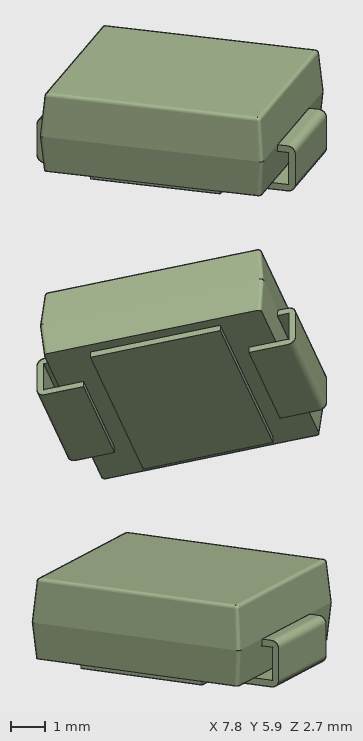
import cadquery as cq
import math

overall_length = 7.8
overall_height = 2.7

body_length = 6.74
body_width = 5.9
body_bottom = 0.305
parting_height = 1.4
draft_angle = 5.0
body_edge_radius = 0.1

lead_width = 3.0
lead_thickness = 0.2
lead_bend_radius = 0.235
foot_length = 1.405
lead_embed = 0.39

pad_length = 3.915
pad_width = 5.1
pad_bottom = 0.1


def body_half(height):
    """Drafted block that narrows from the parting plane; a negative height goes down."""
    inset = abs(height) * math.tan(math.radians(draft_angle))
    half = (
        cq.Workplane("XY")
        .workplane(offset=parting_height)
        .rect(body_length, body_width)
        .workplane(offset=height)
        .rect(body_length - 2 * inset, body_width - 2 * inset)
        .loft(ruled=True)
    )
    return half.edges("not(|X or |Y)").fillet(body_edge_radius)


def make_body():
    upper = body_half(overall_height - parting_height)
    upper = upper.faces(">Z").edges().fillet(body_edge_radius)
    lower = body_half(body_bottom - parting_height)
    return upper.union(lower)


def make_left_lead():
    """Strip that leaves the body at the parting plane, drops and folds back underneath."""
    outer_x = -overall_length / 2
    inner_x = outer_x + lead_thickness
    arm_end_x = -body_length / 2 + lead_embed
    foot_end_x = outer_x + foot_length
    profile = [
        (arm_end_x, parting_height),
        (outer_x, parting_height),
        (outer_x, 0),
        (foot_end_x, 0),
        (foot_end_x, lead_thickness),
        (inner_x, lead_thickness),
        (inner_x, parting_height - lead_thickness),
        (arm_end_x, parting_height - lead_thickness),
    ]
    strip = cq.Workplane("XZ").polyline(profile).close().extrude(lead_width / 2, both=True)
    return strip.faces("<X").edges("|Y").fillet(lead_bend_radius)


def make_pad():
    pad_height = body_bottom - pad_bottom
    return (
        cq.Workplane("XY")
        .workplane(offset=pad_bottom)
        .rect(pad_length, pad_width)
        .extrude(pad_height)
    )


left_lead = make_left_lead()
right_lead = left_lead.mirror("YZ")
result = make_body().union(make_pad()).union(left_lead).union(right_lead)